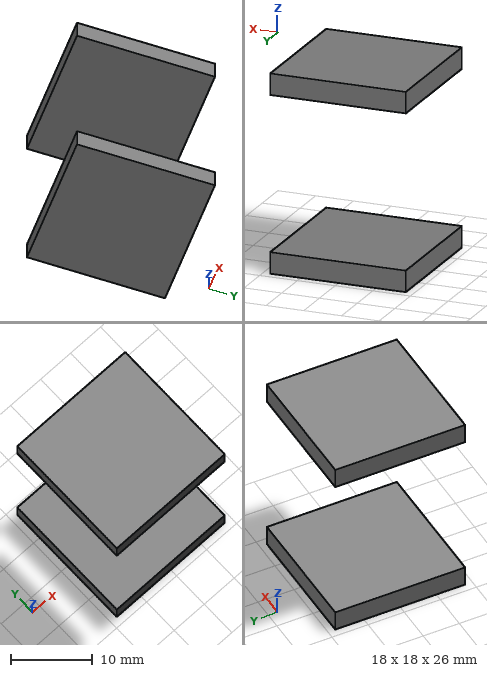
import cadquery as cq

overall_height = 26.0
plate_side = 18.0
plate_thickness = 2.8

lower_plate_z = -overall_height / 2
upper_plate_z = overall_height / 2 - plate_thickness


def make_plate(underside_z):
    """Square flat plate, centred on the Z axis, with its underside at the given height."""
    return (
        cq.Workplane("XY")
        .workplane(offset=underside_z)
        .rect(plate_side, plate_side)
        .extrude(plate_thickness)
    )


plates = []
for underside_z in (lower_plate_z, upper_plate_z):
    plates.append(make_plate(underside_z).val())

result = cq.Compound.makeCompound([*plates])